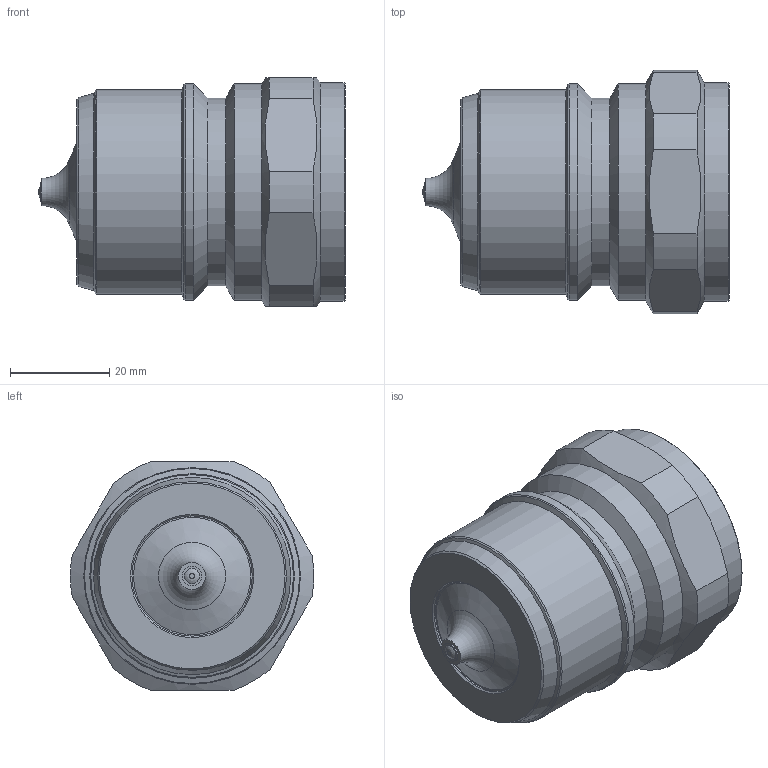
import cadquery as cq
import math


tip_ring_x = 0.4
tip_shoulder_x = 0.6
nose_arc_end_x = 6.2
front_face_x = 7.6
lead_in_start_x = 8.0
lead_in_end_x = 11.05
barrel_chamfer_start_x = 11.3
barrel_start_x = 11.6
collar_start_x = 28.75
neck_start_x = 34.0
neck_end_x = 37.6
nut_start_x = 44.8
nut_end_x = 56.6
total_length = 61.6

tip_end_radius = 0.5
tip_dome_radius = 1.55
tip_ring_radius = 1.95
tip_shoulder_radius = 2.75
nose_arc_end_radius = 6.75
nose_radius = 11.8
bore_radius = 12.1
front_face_radius = 18.7
lead_in_start_radius = 19.0
lead_in_end_radius = 19.85
barrel_chamfer_radius = 20.4
barrel_radius = 20.6
neck_radius = 18.9
collar_radius = 21.8
rear_radius = 22.0

nose_cone_angle = 68.0
bore_chamfer = 0.3
tip_dome_bulge = 0.1
collar_front_length = 0.4
collar_front_drop = 0.15
collar_land_start = 0.7
shoulder_angle = 60.0
rear_chamfer = 0.2

across_flats = 46.0
nut_rim_radius = 24.5


def run_for_rise(rise, angle):
    """Length along X of a cone flank that rises by the given radius difference."""
    return rise / math.tan(math.radians(angle))


def point_beside_chord(start, end, offset):
    """Point at the given distance from the middle of a chord, positive to its left."""
    run = end[0] - start[0]
    rise = end[1] - start[1]
    chord = math.hypot(run, rise)
    middle_x = (start[0] + end[0]) / 2
    middle_radius = (start[1] + end[1]) / 2
    return (middle_x - offset * rise / chord, middle_radius + offset * run / chord)


def make_turned_body():
    """Revolve the nose, barrel, collar, neck, nut blank and rear sleeve as one profile."""
    tip_end = (0, tip_end_radius)
    dome_end = (tip_ring_x, tip_dome_radius)
    nose_arc_end = (nose_arc_end_x, nose_arc_end_radius)
    nose_bottom_x = nose_arc_end_x + run_for_rise(nose_radius - nose_arc_end_radius, nose_cone_angle)
    collar_end_x = neck_start_x - (collar_radius - neck_radius)
    shoulder_end_x = neck_end_x + run_for_rise(collar_radius - neck_radius, shoulder_angle)
    nut_rim_start_x = nut_start_x + run_for_rise(nut_rim_radius - collar_radius, shoulder_angle)
    nut_rim_end_x = nut_end_x - run_for_rise(nut_rim_radius - rear_radius, shoulder_angle)

    dome_middle = point_beside_chord(tip_end, dome_end, tip_dome_bulge)

    flare_run = nose_arc_end_x - tip_shoulder_x
    flare_rise = nose_arc_end_radius - tip_shoulder_radius
    flare_radius = (flare_run**2 + flare_rise**2) / (2 * flare_rise)
    flare_half_angle = math.atan2(flare_rise, flare_run)
    flare_middle = (
        tip_shoulder_x + flare_radius * math.sin(flare_half_angle),
        tip_shoulder_radius + flare_radius * (1 - math.cos(flare_half_angle)),
    )

    profile = (
        cq.Workplane("XY")
        .moveTo(0, 0)
        .lineTo(*tip_end)
        .threePointArc(dome_middle, dome_end)
        .lineTo(tip_ring_x, tip_ring_radius)
        .lineTo(tip_shoulder_x, tip_ring_radius)
        .lineTo(tip_shoulder_x, tip_shoulder_radius)
        .threePointArc(flare_middle, nose_arc_end)
        .lineTo(nose_bottom_x, nose_radius)
        .lineTo(nose_bottom_x, bore_radius)
        .lineTo(front_face_x + bore_chamfer, bore_radius)
        .lineTo(front_face_x, bore_radius + bore_chamfer)
        .lineTo(front_face_x, front_face_radius)
        .lineTo(lead_in_start_x, lead_in_start_radius)
        .lineTo(lead_in_end_x, lead_in_end_radius)
        .lineTo(barrel_chamfer_start_x, barrel_chamfer_radius)
        .lineTo(barrel_start_x, barrel_radius)
        .lineTo(collar_start_x, barrel_radius)
        .lineTo(collar_start_x + collar_front_length, collar_radius - collar_front_drop)
        .lineTo(collar_start_x + collar_land_start, collar_radius)
        .lineTo(collar_end_x, collar_radius)
        .lineTo(neck_start_x, neck_radius)
        .lineTo(neck_end_x, neck_radius)
        .lineTo(shoulder_end_x, collar_radius)
        .lineTo(nut_start_x, collar_radius)
        .lineTo(nut_rim_start_x, nut_rim_radius)
        .lineTo(nut_rim_end_x, nut_rim_radius)
        .lineTo(nut_end_x, rear_radius)
        .lineTo(total_length - rear_chamfer, rear_radius)
        .lineTo(total_length, rear_radius - rear_chamfer)
        .lineTo(total_length, 0)
        .close()
    )
    return profile.revolve(360, (0, 0, 0), (1, 0, 0))


def make_hex_prism():
    """Hexagonal bar along X with two flats facing +Z and -Z and corners on the Y axis."""
    across_corners = across_flats / math.cos(math.radians(30))
    return cq.Workplane("YZ").polygon(6, across_corners).extrude(total_length)


result = make_turned_body().intersect(make_hex_prism())